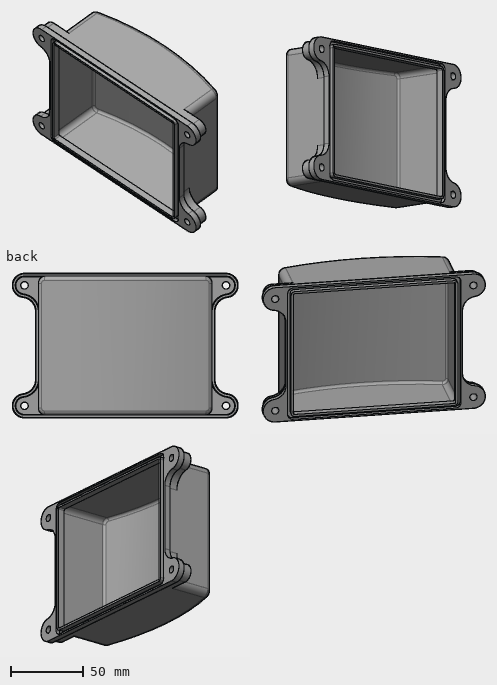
import cadquery as cq
import math

overall_width = 156.0
overall_height = 100.0
flange_width = 124.0
flange_thickness = 5.0
ear_radius = 8.4
ear_blend_radius = 9.7
screw_hole_diameter = 5.0
back_edge_chamfer = 0.5

ear_step = 2.0
ear_pad_back = 12.5
crown_back = 50.0
crown_radius = 210.5
wall = 1.01
body_corner_radius = 5.0
back_edge_radius = 3.0
rim_overhang = 2.0
rim_back = 4.0
opening_corner_radius = 1.0

lip_width = 1.5
lip_height = 1.0
groove_width = 2.3
groove_depth = 3.0
groove_corner_radius = 3.9

ear_x = overall_width / 2 - ear_radius
ear_z = overall_height / 2 - ear_radius
body_width = flange_width - 2 * ear_step
body_height = overall_height - 2 * ear_step
cavity_width = body_width - 2 * wall
cavity_height = body_height - 2 * wall
cavity_corner_radius = body_corner_radius - wall
cavity_edge_radius = back_edge_radius - wall
opening_width = cavity_width - 2 * rim_overhang
opening_height = cavity_height - 2 * rim_overhang
lip_outer_width = opening_width + 2 * lip_width
lip_outer_height = opening_height + 2 * lip_width
lip_corner_radius = opening_corner_radius + lip_width


def plane_at(y):
    """Plane facing +Y, so that extrusions run toward the back of the box."""
    return cq.Plane(origin=(0, y, 0), xDir=(1, 0, 0), normal=(0, 1, 0))


def rounded_block(width, height, corner_radius, y_front, y_back):
    block = cq.Workplane(plane_at(y_front)).rect(width, height).extrude(y_back - y_front)
    return block.edges("|Y").fillet(corner_radius)


def eared_plate(inset, y_back):
    """Plate with four ears, its outline moved inward by the inset."""
    side_x = flange_width / 2 - inset
    end_z = overall_height / 2 - inset
    radius = ear_radius - inset
    blend = ear_blend_radius + inset

    blend_x = side_x + blend
    reach = radius + blend
    blend_z = ear_z - math.sqrt(reach**2 - (blend_x - ear_x) ** 2)
    tangent_x = ear_x + (blend_x - ear_x) * radius / reach
    tangent_z = ear_z + (blend_z - ear_z) * radius / reach
    bend_angle = (math.pi + math.atan2(tangent_z - blend_z, tangent_x - blend_x)) / 2
    blend_mid = (blend_x + blend * math.cos(bend_angle), blend_z + blend * math.sin(bend_angle))

    quarter = (
        cq.Workplane("XZ")
        .moveTo(0, 0)
        .lineTo(side_x, 0)
        .lineTo(side_x, blend_z)
        .threePointArc(blend_mid, (tangent_x, tangent_z))
        .threePointArc((ear_x + radius, ear_z), (ear_x, end_z))
        .lineTo(0, end_z)
        .close()
        .extrude(-y_back)
    )
    half = quarter.union(quarter.mirror("YZ"))
    plate = half.union(half.mirror("XY")).clean()
    return plate.faces(">Y").chamfer(back_edge_chamfer)


def bowed_block(width, height, corner_radius, y_front, bow_radius, edge_radius):
    """Rounded block whose back is a cylinder about a Z axis, with a rounded back edge."""
    block = rounded_block(width, height, corner_radius, y_front, crown_back)
    bow = (
        cq.Workplane("XY")
        .center(0, crown_back - crown_radius)
        .circle(bow_radius)
        .extrude(overall_height, both=True)
    )
    block = block.intersect(bow)
    return block.faces(">Y").edges().fillet(edge_radius)


flange = eared_plate(0, flange_thickness)
ear_pads = eared_plate(ear_step, ear_pad_back)
body = bowed_block(body_width, body_height, body_corner_radius, 0, crown_radius, back_edge_radius)
lip = rounded_block(lip_outer_width, lip_outer_height, lip_corner_radius, -lip_height, groove_depth)

groove = rounded_block(
    lip_outer_width + 2 * groove_width,
    lip_outer_height + 2 * groove_width,
    groove_corner_radius,
    0,
    groove_depth,
)

cavity = bowed_block(
    cavity_width,
    cavity_height,
    cavity_corner_radius,
    rim_back,
    crown_radius - wall,
    cavity_edge_radius,
)
opening = rounded_block(opening_width, opening_height, opening_corner_radius, -lip_height, rim_back)

screw_holes = (
    cq.Workplane(plane_at(0))
    .rect(2 * ear_x, 2 * ear_z, forConstruction=True)
    .vertices()
    .circle(screw_hole_diameter / 2)
    .extrude(ear_pad_back)
)

outer_shape = flange.union(ear_pads).union(body).cut(groove).union(lip)
result = outer_shape.cut(opening).cut(cavity).cut(screw_holes)